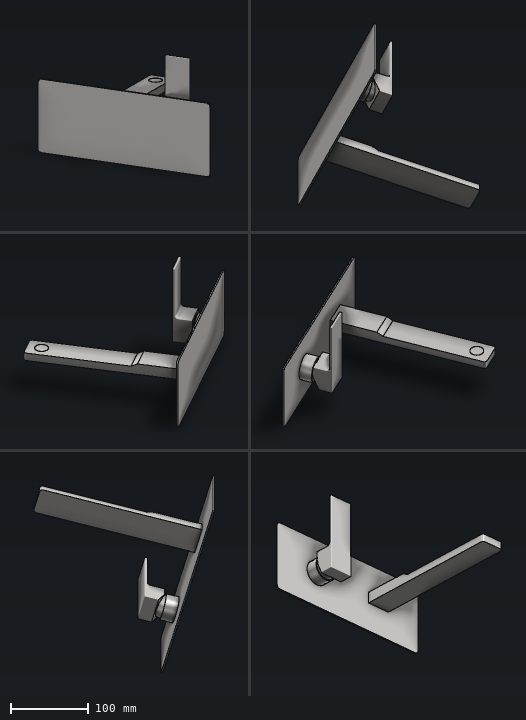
import cadquery as cq
import math

PLATE_WIDTH = 250.0
PLATE_HEIGHT = 100.0
PLATE_THICKNESS = 2.2
PLATE_CORNER_RADIUS = 5.0

FITTING_OFFSET = 54.5
FITTING_WIDTH = 35.0
FITTING_RADIUS = FITTING_WIDTH / 2

SPOUT_REACH = 220.0
SPOUT_ROOT_HEIGHT = 16.0
SPOUT_BOTTOM = -SPOUT_ROOT_HEIGHT / 2
SPOUT_TIP_HEIGHT = 11.5
SPOUT_STEP_START = 67.5
SPOUT_STEP_END = 76.0
SPOUT_CORNER_RADIUS = 4.0

DISC_DIAMETER = 18.0
DISC_FROM_TIP = 20.0
DISC_HEIGHT = 0.2

SLEEVE_END = 19.5

NECK_BASE_RADIUS = 16.0
NECK_LENGTH = 10.0
NECK_TAPER = 14.0
HANDLE_BASE_Y = 21.2
HANDLE_FRONT_Y = 48.5
HANDLE_BOTTOM = -18.0
HANDLE_BLOCK_TOP = FITTING_RADIUS
HANDLE_TOP = 91.8
LEVER_THICKNESS = 4.0
LEVER_ROOT_RADIUS = 5.0
UNDERCUT_FOOT_Y = 29.8
UNDERCUT_ANGLE = 67.0
HANDLE_EDGE_RADIUS = 0.8
LEVER_TIP_RADIUS = 1.8

SELECTION_MARGIN = 2.5


def make_plate():
    plate = cq.Workplane("XY").box(
        PLATE_WIDTH, PLATE_THICKNESS, PLATE_HEIGHT, centered=(True, False, True)
    )
    return plate.edges("|Y").fillet(PLATE_CORNER_RADIUS)


def make_spout():
    root_top = SPOUT_BOTTOM + SPOUT_ROOT_HEIGHT
    tip_top = SPOUT_BOTTOM + SPOUT_TIP_HEIGHT
    side = [
        (0, SPOUT_BOTTOM),
        (SPOUT_REACH, SPOUT_BOTTOM),
        (SPOUT_REACH, tip_top),
        (SPOUT_STEP_END, tip_top),
        (SPOUT_STEP_START, root_top),
        (0, root_top),
    ]
    spout = cq.Workplane("YZ").polyline(side).close().extrude(FITTING_WIDTH / 2, both=True)
    spout = spout.edges("|Z and >Y").fillet(SPOUT_CORNER_RADIUS)
    disc = (
        cq.Workplane("XY", origin=(0, SPOUT_REACH - DISC_FROM_TIP, tip_top))
        .circle(DISC_DIAMETER / 2)
        .extrude(DISC_HEIGHT)
    )
    return spout.union(disc).translate((-FITTING_OFFSET, 0, 0))


def make_sleeve():
    sleeve = cq.Workplane("XZ").circle(FITTING_RADIUS).extrude(-SLEEVE_END)
    return sleeve.translate((FITTING_OFFSET, 0, 0))


def make_handle():
    lever_back = HANDLE_FRONT_Y - LEVER_THICKNESS
    undercut_depth = UNDERCUT_FOOT_Y - HANDLE_BASE_Y
    undercut_top = HANDLE_BOTTOM + undercut_depth * math.tan(math.radians(UNDERCUT_ANGLE))
    side = [
        (HANDLE_BASE_Y, HANDLE_BLOCK_TOP),
        (HANDLE_BASE_Y, undercut_top),
        (UNDERCUT_FOOT_Y, HANDLE_BOTTOM),
        (HANDLE_FRONT_Y, HANDLE_BOTTOM),
        (HANDLE_FRONT_Y, HANDLE_TOP),
        (lever_back, HANDLE_TOP),
        (lever_back, HANDLE_BLOCK_TOP),
    ]
    handle = cq.Workplane("YZ").polyline(side).close().extrude(FITTING_WIDTH / 2, both=True)
    root = cq.selectors.NearestToPointSelector((0, lever_back, HANDLE_BLOCK_TOP))
    handle = handle.edges(root).fillet(LEVER_ROOT_RADIUS)
    tip = cq.selectors.NearestToPointSelector((0, lever_back, HANDLE_TOP))
    handle = handle.edges(tip).fillet(LEVER_TIP_RADIUS)
    sharp_end = cq.selectors.BoxSelector(
        (-FITTING_WIDTH, 0, HANDLE_BOTTOM - SELECTION_MARGIN),
        (FITTING_WIDTH, UNDERCUT_FOOT_Y, HANDLE_BLOCK_TOP - SELECTION_MARGIN),
    )
    outline = cq.selectors.StringSyntaxSelector("not |X")
    front = handle.faces(">Y").edges()
    sides = handle.faces("<X or >X").edges(outline - sharp_end)
    handle = front.add(sides).fillet(HANDLE_EDGE_RADIUS)
    neck = (
        cq.Workplane("XZ", origin=(0, SLEEVE_END, 0))
        .circle(NECK_BASE_RADIUS)
        .extrude(-NECK_LENGTH, taper=NECK_TAPER)
    )
    return handle.union(neck).translate((FITTING_OFFSET, 0, 0))


body = make_plate().union(make_spout()).union(make_sleeve())
handle = make_handle()

result = cq.Compound.makeCompound([body.val(), handle.val()])